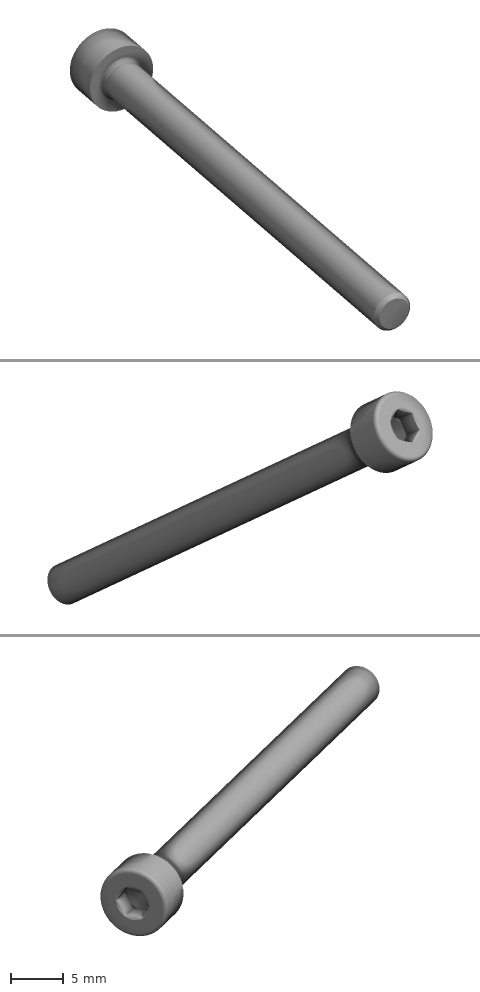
import cadquery as cq
import math

SHANK_DIAMETER = 4.0
SHANK_LENGTH = 50.0
TIP_DIAMETER = 3.242

HEAD_DIAMETER = 7.0
HEAD_HEIGHT = 4.0
HEAD_EDGE_RADIUS = 0.4

NECK_DIAMETER = 4.7
NECK_FILLET_RADIUS = 0.2
NECK_CONE_ANGLE = 20.0

SOCKET_ACROSS_FLATS = 3.0
SOCKET_DEPTH = 2.0
SOCKET_FLOOR_ANGLE = 120.0
SOCKET_MOUTH_ANGLE = 120.0

SHANK_RADIUS = SHANK_DIAMETER / 2
HEAD_RADIUS = HEAD_DIAMETER / 2
TIP_RADIUS = TIP_DIAMETER / 2
TIP_CHAMFER = SHANK_RADIUS - TIP_RADIUS
NECK_RADIUS = NECK_DIAMETER / 2
HEAD_FACE_X = -HEAD_HEIGHT
SOCKET_ACROSS_CORNERS = SOCKET_ACROSS_FLATS / math.cos(math.pi / 6)


def point_on_arc(center, radius, angle):
    """Point at the given angle (radians) on a circle in the (axial, radial) plane."""
    return (center[0] + radius * math.cos(angle), center[1] + radius * math.sin(angle))


def add_head_edge(outline):
    """Round the outline from the head face to the head's cylinder."""
    center = (HEAD_FACE_X + HEAD_EDGE_RADIUS, HEAD_RADIUS - HEAD_EDGE_RADIUS)
    middle = point_on_arc(center, HEAD_EDGE_RADIUS, 3 * math.pi / 4)
    end = point_on_arc(center, HEAD_EDGE_RADIUS, math.pi / 2)
    return outline.threePointArc(middle, end)


def add_neck(outline):
    """Lead the outline from the underside of the head to the shank: fillet, cone, fillet."""
    slope = math.radians(NECK_CONE_ANGLE)
    cone_normal = -math.pi / 2 - slope

    head_center = (NECK_FILLET_RADIUS, NECK_RADIUS)
    head_middle = point_on_arc(head_center, NECK_FILLET_RADIUS, (cone_normal - math.pi) / 2)
    cone_start = point_on_arc(head_center, NECK_FILLET_RADIUS, cone_normal)

    shank_center_radius = SHANK_RADIUS + NECK_FILLET_RADIUS
    cone_end_radius = shank_center_radius + NECK_FILLET_RADIUS * math.sin(cone_normal)
    cone_end_x = cone_start[0] + (cone_start[1] - cone_end_radius) / math.tan(slope)
    shank_center = (cone_end_x - NECK_FILLET_RADIUS * math.cos(cone_normal), shank_center_radius)
    shank_middle = point_on_arc(shank_center, NECK_FILLET_RADIUS, -math.pi / 2 - slope / 2)
    shank_start = point_on_arc(shank_center, NECK_FILLET_RADIUS, -math.pi / 2)

    outline = outline.threePointArc(head_middle, cone_start)
    outline = outline.lineTo(cone_end_x, cone_end_radius)
    return outline.threePointArc(shank_middle, shank_start)


def make_body():
    """Head and shank, turned from a half outline (X along the axis, Y as radius)."""
    outline = cq.Workplane("XY").moveTo(HEAD_FACE_X, 0)
    outline = outline.lineTo(HEAD_FACE_X, HEAD_RADIUS - HEAD_EDGE_RADIUS)
    outline = add_head_edge(outline)
    outline = outline.lineTo(0, HEAD_RADIUS).lineTo(0, NECK_RADIUS)
    outline = add_neck(outline)
    outline = outline.lineTo(SHANK_LENGTH - TIP_CHAMFER, SHANK_RADIUS)
    outline = outline.lineTo(SHANK_LENGTH, TIP_RADIUS).lineTo(SHANK_LENGTH, 0).close()
    return outline.revolve(360, (0, 0, 0), (1, 0, 0))


def make_cone(base_diameter, included_angle, base_x):
    """Cone on the axis, pointing toward +X from its base."""
    radius = base_diameter / 2
    height = radius / math.tan(math.radians(included_angle / 2))
    return cq.Workplane(cq.Solid.makeCone(radius, 0, height, cq.Vector(base_x, 0, 0), cq.Vector(1, 0, 0)))


def make_socket():
    """Hexagonal socket, corners on the Y axis, with a conical floor and a mouth chamfered to the corners."""
    head_face = cq.Workplane("YZ", origin=(HEAD_FACE_X, 0, 0))
    hexagon = head_face.polygon(6, SOCKET_ACROSS_CORNERS).extrude(SOCKET_DEPTH)
    floor = make_cone(SOCKET_ACROSS_FLATS, SOCKET_FLOOR_ANGLE, HEAD_FACE_X + SOCKET_DEPTH)
    mouth = make_cone(SOCKET_ACROSS_CORNERS, SOCKET_MOUTH_ANGLE, HEAD_FACE_X)
    return hexagon.union(floor).union(mouth)


result = make_body().cut(make_socket())